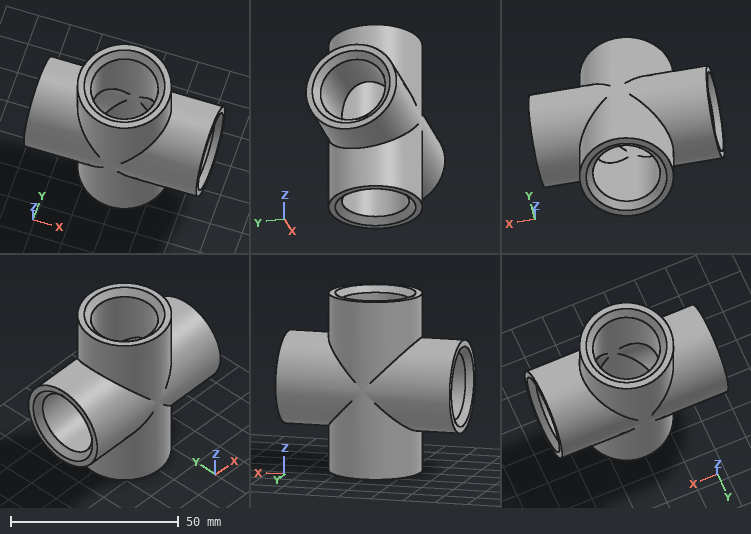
import cadquery as cq

length = 54.0
outer_diameter = 28.0
bore_diameter = 20.0
mouth_diameter = 24.0
mouth_depth = 2.0

half_length = length / 2
outer_radius = outer_diameter / 2
bore_radius = bore_diameter / 2
mouth_radius = mouth_diameter / 2

CENTER = cq.Vector(0, 0, 0)
X_AXIS = cq.Vector(1, 0, 0)
Z_AXIS = cq.Vector(0, 0, 1)
PIPE_AXES = (X_AXIS, Z_AXIS)


def through_cylinder(radius, axis):
    """Cylinder of full pipe length, centred on the origin along an axis."""
    start = CENTER - axis * half_length
    return cq.Workplane(cq.Solid.makeCylinder(radius, length, start, axis))


def conical_mouth(outward):
    """Cone that widens the bore at the end face facing the outward direction."""
    end_face = outward * half_length
    return cq.Workplane(
        cq.Solid.makeCone(mouth_radius, bore_radius, mouth_depth, end_face, outward * -1)
    )


body = through_cylinder(outer_radius, X_AXIS).union(through_cylinder(outer_radius, Z_AXIS))

for axis in PIPE_AXES:
    body = body.cut(through_cylinder(bore_radius, axis))
    for direction in (1, -1):
        body = body.cut(conical_mouth(axis * direction))

result = body